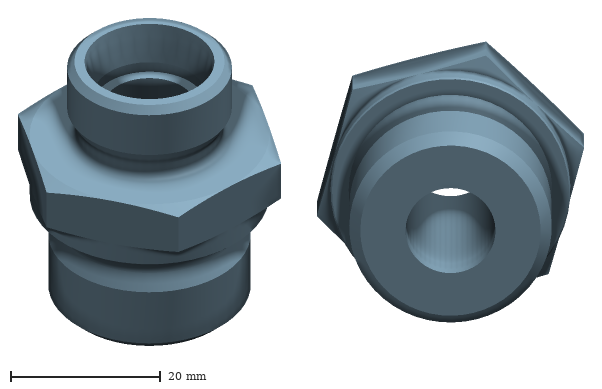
import cadquery as cq
import math

total_height = 38.0
flange_bottom = 16.0
hex_bottom = 19.0
hex_top = 26.0

across_flats = 32.0
hex_chamfer_angle = 15.0
flange_radius = across_flats / 2
flange_edge_chamfer = 0.2

stud_radius = 27.0 / 2
stud_chamfer = 1.5
groove_radius = 12.0
groove_height = 12.85
groove_round = 1.55
groove_flank_angle = 30.0

tube_radius = 22.0 / 2
tube_chamfer = 1.0
neck_radius = 19.7 / 2
neck_round = 1.05
neck_corner_height = 28.5
neck_flank_angle = 30.0

bore_radius = 12.0 / 2
socket_radius = 15.0 / 2
socket_depth = 7.0
mouth_radius = 8.65
mouth_angle = 12.0


def tangent(angle):
    return math.tan(math.radians(angle))


def revolve(profile):
    """Turn a closed radius-height profile around the Z axis."""
    return profile.close().revolve(360, (0, 0, 0), (0, 1, 0))


def make_lower_stud():
    """Chamfered stud, V groove with a rounded root, and round flange."""
    flank = math.radians(groove_flank_angle)
    half_arc = groove_round * math.sin(flank)
    arc_end_radius = groove_radius + groove_round * (1 - math.cos(flank))
    flank_height = (stud_radius - arc_end_radius) / math.tan(flank)
    flange_flank_height = flange_bottom - groove_height - half_arc
    flange_flank_radius = arc_end_radius + flange_flank_height * math.tan(flank)
    profile = (
        cq.Workplane("XZ")
        .lineTo(stud_radius - stud_chamfer, 0)
        .lineTo(stud_radius, stud_chamfer)
        .lineTo(stud_radius, groove_height - half_arc - flank_height)
        .lineTo(arc_end_radius, groove_height - half_arc)
        .threePointArc((groove_radius, groove_height), (arc_end_radius, groove_height + half_arc))
        .lineTo(flange_flank_radius, flange_bottom)
        .lineTo(flange_radius - flange_edge_chamfer, flange_bottom)
        .lineTo(flange_radius, flange_bottom + flange_edge_chamfer)
        .lineTo(flange_radius, hex_bottom)
        .lineTo(0, hex_bottom)
    )
    return revolve(profile)


def make_hexagon():
    """Hexagon with corners on the Y axis, its corners chamfered at both ends."""
    corner_radius = across_flats / 2 / math.cos(math.pi / 6)
    corner_drop = (corner_radius - flange_radius) * tangent(hex_chamfer_angle)
    prism = (
        cq.Workplane("XY", origin=(0, 0, hex_bottom))
        .polygon(6, 2 * corner_radius)
        .extrude(hex_top - hex_bottom)
        .rotate((0, 0, 0), (0, 0, 1), 30)
    )
    envelope = (
        cq.Workplane("XZ")
        .moveTo(0, hex_bottom)
        .lineTo(flange_radius, hex_bottom)
        .lineTo(corner_radius, hex_bottom + corner_drop)
        .lineTo(corner_radius, hex_top - corner_drop)
        .lineTo(flange_radius, hex_top)
        .lineTo(0, hex_top)
    )
    return prism.intersect(revolve(envelope))


def make_tube_end():
    """Chamfered cylinder on a neck rounded into the hexagon and the flank above."""
    flank = math.radians(neck_flank_angle)
    flank_height = (tube_radius - neck_radius) / math.tan(flank)
    tangent_length = neck_round * math.tan(flank / 2)
    upper_arc_start = (neck_radius, neck_corner_height - tangent_length)
    upper_arc_end = (
        neck_radius + tangent_length * math.sin(flank),
        neck_corner_height + tangent_length * math.cos(flank),
    )
    upper_arc_middle = (
        neck_radius + neck_round * (1 - math.cos(flank / 2)),
        upper_arc_start[1] + neck_round * math.sin(flank / 2),
    )
    lower_arc_inset = neck_round * (1 - math.sqrt(0.5))
    profile = (
        cq.Workplane("XZ")
        .moveTo(0, hex_top)
        .lineTo(neck_radius + neck_round, hex_top)
        .threePointArc(
            (neck_radius + lower_arc_inset, hex_top + lower_arc_inset),
            (neck_radius, hex_top + neck_round),
        )
        .lineTo(*upper_arc_start)
        .threePointArc(upper_arc_middle, upper_arc_end)
        .lineTo(tube_radius, neck_corner_height + flank_height)
        .lineTo(tube_radius, total_height - tube_chamfer)
        .lineTo(tube_radius - tube_chamfer, total_height)
        .lineTo(0, total_height)
    )
    return revolve(profile)


def make_bore():
    """Through bore, wider socket at the top, and a tapered socket mouth."""
    taper_depth = (mouth_radius - socket_radius) / tangent(mouth_angle)
    socket_floor = total_height - socket_depth
    profile = (
        cq.Workplane("XZ")
        .lineTo(bore_radius, 0)
        .lineTo(bore_radius, socket_floor)
        .lineTo(socket_radius, socket_floor)
        .lineTo(socket_radius, total_height - taper_depth)
        .lineTo(mouth_radius, total_height)
        .lineTo(0, total_height)
    )
    return revolve(profile)


result = make_lower_stud().union(make_hexagon()).union(make_tube_end()).cut(make_bore())